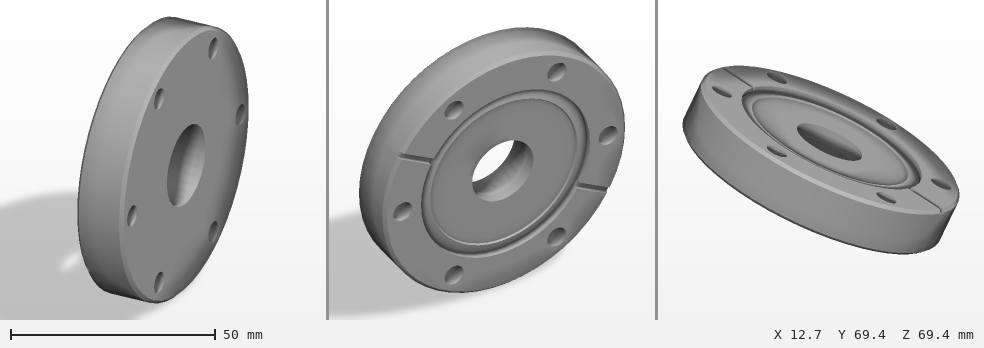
import cadquery as cq

outer_radius = 34.7
thickness = 12.7
front_chamfer = 0.8
back_chamfer = 0.8
bore_radius = 8.75
bore_flare_start = 5.05
bore_back_radius = 10.4

recess_radius = 24.1
recess_depth = 1.7
recess_flat_width = 0.2
knife_radius = 21.0
knife_tip_depth = 0.75
floor_radius = 20.7
floor_depth = 1.25

bolt_count = 6
bolt_circle_radius = 29.3
bolt_hole_diameter = 5.4

groove_width = 1.65
groove_depth = 1.25
groove_angle = 30.0
groove_inner_radius = (recess_radius + knife_radius) / 2


def make_body():
    """Revolve the flange section; sketch points are (X, radius)."""
    section = [
        (floor_depth, bore_radius),
        (floor_depth, floor_radius),
        (knife_tip_depth, knife_radius),
        (recess_depth, recess_radius - recess_flat_width),
        (recess_depth, recess_radius),
        (0, recess_radius),
        (0, outer_radius - front_chamfer),
        (front_chamfer, outer_radius),
        (thickness - back_chamfer, outer_radius),
        (thickness, outer_radius - back_chamfer),
        (thickness, bore_back_radius),
        (bore_flare_start, bore_radius),
    ]
    return cq.Workplane("XY").polyline(section).close().revolve(360, (0, 0, 0), (1, 0, 0))


def make_bolt_holes():
    return (
        cq.Workplane("YZ")
        .polarArray(bolt_circle_radius, 0, 360, bolt_count)
        .circle(bolt_hole_diameter / 2)
        .extrude(thickness)
    )


def make_groove(angle):
    """Radial groove running from the recess out through the rim."""
    return (
        cq.Workplane("XY")
        .box(groove_depth, outer_radius - groove_inner_radius, groove_width, centered=(False, False, True))
        .translate((0, groove_inner_radius, 0))
        .rotate((0, 0, 0), (1, 0, 0), angle)
    )


result = make_body().cut(make_bolt_holes())
for side_angle in (0, 180):
    result = result.cut(make_groove(groove_angle + side_angle))